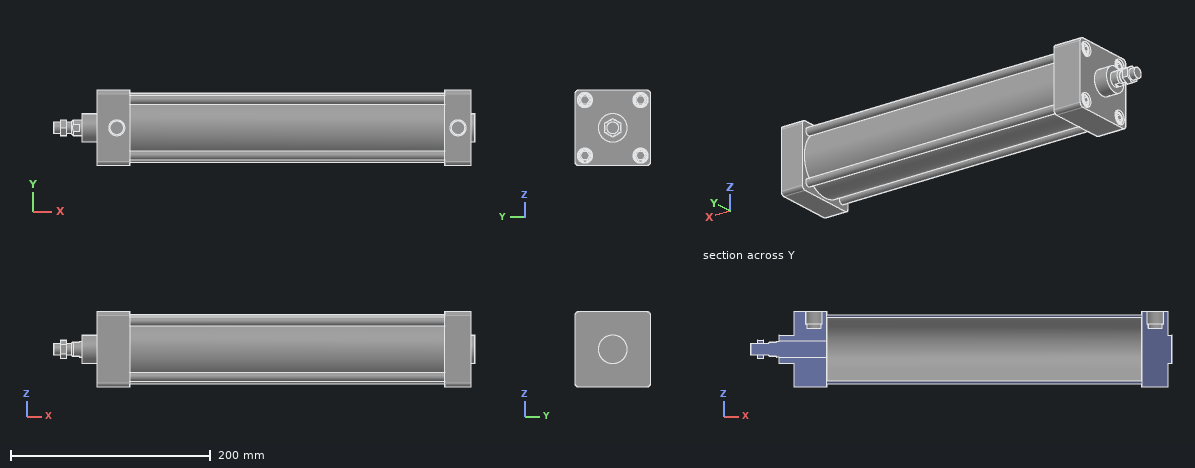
import cadquery as cq
import math

total_length = 422.3
nut_start = 6.8
nut_thickness = 6.5
thread_end = 18.0
flat_end = 25.8
gland_start = 28.5
front_cap_start = 43.5
front_cap_length = 33.0
rear_cap_length = 26.5
rear_boss_length = 4.0
front_cap_end = front_cap_start + front_cap_length
rear_cap_end = total_length - rear_boss_length
rear_cap_start = rear_cap_end - rear_cap_length

cap_size = 76.0
cap_corner_radius = 4.2
boss_diameter = 28.7
port_diameter = 16.0
port_depth = 12.5
passage_diameter = 13.5
passage_depth = 17.0
front_port_x = 63.5
rear_port_x = 405.5

barrel_outer_diameter = 69.5
barrel_bore = 63.5

rod_diameter = 16.0
rod_chamfer = 1.5
thread_diameter = 12.0
rod_flat_width = 14.5
nut_width = 16.0

tie_rod_spacing = 55.7
tie_rod_diameter = 9.0
head_diameter = 13.5
head_chamfer = 1.3
head_length = 6.8
head_recess_diameter = 15.0
head_recess_depth = 7.5
socket_width = 8.0
socket_depth = 4.2
tie_rod_anchor_depth = 12.5

head_start = front_cap_start + head_recess_depth - head_length
head_seat = front_cap_start + head_recess_depth
tie_rod_end = rear_cap_start + tie_rod_anchor_depth
tie_rod_offset = tie_rod_spacing / 2
tie_rod_positions = [(side_y * tie_rod_offset, side_z * tie_rod_offset)
                     for side_y in (-1, 1) for side_z in (-1, 1)]


def rod_along_x(diameter, start, end, y=0.0, z=0.0):
    """Solid round bar parallel to X between two stations."""
    return cq.Workplane("YZ", origin=(start, y, z)).circle(diameter / 2).extrude(end - start)


def hexagon_corners(width_across_flats):
    """Width across the corners of a regular hexagon."""
    return width_across_flats / math.cos(math.pi / 6)


def cap_block(start, length):
    """Square block with its four long edges rounded."""
    block = cq.Workplane("YZ", origin=(start, 0, 0)).rect(cap_size, cap_size).extrude(length)
    return block.edges("|X").fillet(cap_corner_radius)


def port(x):
    """Cutter for an air port in the top face of a cap, with a narrower passage below it."""
    top = cq.Workplane("XY", origin=(x, 0, cap_size / 2))
    passage = top.circle(passage_diameter / 2).extrude(-passage_depth)
    return top.circle(port_diameter / 2).extrude(-port_depth).union(passage)


def make_front_cap():
    """Rod-side cap with the gland, the rod bore and the sunk tie-rod holes."""
    cap = cap_block(front_cap_start, front_cap_length)
    cap = cap.union(rod_along_x(boss_diameter, gland_start, front_cap_end))
    cap = cap.cut(rod_along_x(rod_diameter, gland_start, front_cap_end))
    for y, z in tie_rod_positions:
        cap = cap.cut(rod_along_x(tie_rod_diameter, front_cap_start, front_cap_end, y, z))
        cap = cap.cut(rod_along_x(head_recess_diameter, front_cap_start, head_seat, y, z))
    return cap.cut(port(front_port_x))


def make_rear_cap():
    """Closed cap with a centring boss and blind tie-rod holes."""
    cap = cap_block(rear_cap_start, rear_cap_length)
    cap = cap.union(rod_along_x(boss_diameter, rear_cap_start, total_length))
    for y, z in tie_rod_positions:
        cap = cap.cut(rod_along_x(tie_rod_diameter, rear_cap_start, tie_rod_end, y, z))
    return cap.cut(port(rear_port_x))


def make_barrel():
    """Plain tube clamped between the caps."""
    barrel = rod_along_x(barrel_outer_diameter, front_cap_end, rear_cap_start)
    return barrel.cut(rod_along_x(barrel_bore, front_cap_end, rear_cap_start))


def make_piston_rod():
    """Rod with a chamfered shoulder, two wrench flats and a threaded end."""
    rod = rod_along_x(rod_diameter, thread_end, front_cap_end).faces("<X").chamfer(rod_chamfer)
    flat_length = flat_end - thread_end
    flat_zone = cq.Workplane("XY").box(flat_length, rod_diameter, rod_diameter)
    flat_zone = flat_zone.cut(cq.Workplane("XY").box(flat_length, rod_diameter, rod_flat_width))
    rod = rod.cut(flat_zone.translate((thread_end + flat_length / 2, 0, 0)))
    return rod.union(rod_along_x(thread_diameter, 0, thread_end))


def make_nut():
    """Hexagon nut with two corners on the vertical."""
    nut = cq.Workplane("YZ", origin=(nut_start, 0, 0)).polygon(6, hexagon_corners(nut_width))
    nut = nut.extrude(nut_thickness).rotate((0, 0, 0), (1, 0, 0), 90)
    return nut.cut(rod_along_x(thread_diameter, 0, thread_end))


def make_tie_rod(y, z):
    """Long screw with a sunk head and a hexagon socket."""
    tie_rod = rod_along_x(tie_rod_diameter, head_seat, tie_rod_end, y, z)
    head = rod_along_x(head_diameter, head_start, head_seat, y, z).faces("<X").chamfer(head_chamfer)
    tie_rod = tie_rod.union(head)
    socket = cq.Workplane("YZ", origin=(head_start, y, z)).polygon(6, hexagon_corners(socket_width))
    return tie_rod.cut(socket.extrude(socket_depth))


front_cap = make_front_cap()
rear_cap = make_rear_cap()
barrel = make_barrel()
piston_rod = make_piston_rod()
nut = make_nut()
tie_rods = [make_tie_rod(y, z) for y, z in tie_rod_positions]

result = cq.Compound.makeCompound([
    front_cap.val(),
    rear_cap.val(),
    barrel.val(),
    piston_rod.val(),
    nut.val(),
    *[tie_rod.val() for tie_rod in tie_rods],
])